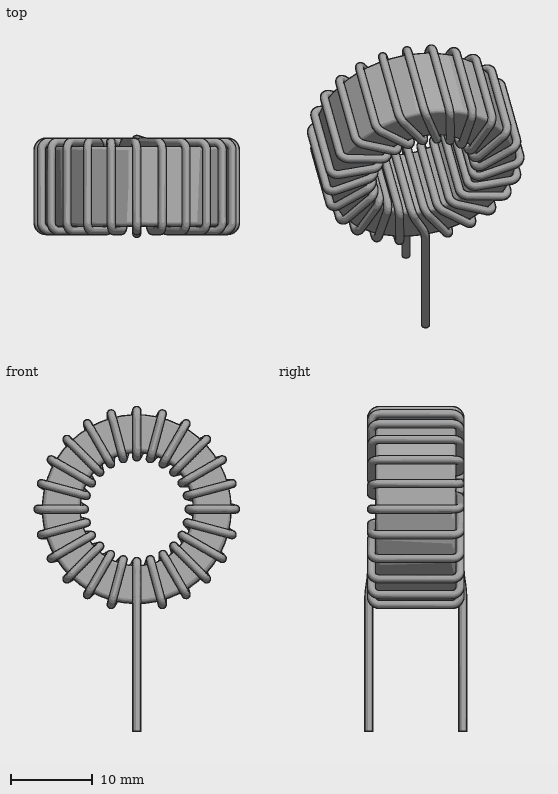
import cadquery as cq
import math


core_outer_diameter = 23.1
core_inner_diameter = 13.8
core_length = 9.8
core_edge_fillet = 0.5

wire_diameter = 1.0
wire_gap = 0.01
turn_positions = 24
turn_pitch = 360 / turn_positions
bottom_angle = 180
standoff = wire_gap + wire_diameter / 2
outer_run_radius = core_outer_diameter / 2 + standoff
inner_run_radius = core_inner_diameter / 2 - standoff
face_run_y = core_length / 2 + standoff
bend_radius = core_edge_fillet + wire_diameter / 2

total_depth = 12.5
total_height = 39.71
lead_y = (total_depth - wire_diameter) / 2
splay_bottom_z = -11.15
lead_bottom_z = outer_run_radius + wire_diameter / 2 - total_height


def ring_point(radius, angle, y):
    turn = math.radians(angle)
    return cq.Vector(radius * math.sin(turn), y, radius * math.cos(turn))


def build_core():
    ring = (
        cq.Workplane("XZ", origin=(0, core_length / 2, 0))
        .circle(core_outer_diameter / 2)
        .circle(core_inner_diameter / 2)
        .extrude(core_length)
    )
    return ring.faces("<Y or >Y").edges().fillet(core_edge_fillet)


def turn_corners():
    """Corner points of the wire centreline around the core, from the front lead to the back lead."""
    corners = []
    for turn in range(turn_positions):
        angle = bottom_angle + turn * turn_pitch
        corners.append(ring_point(inner_run_radius, angle, -face_run_y))
        corners.append(ring_point(inner_run_radius, angle, face_run_y))
        if turn < turn_positions - 1:
            next_angle = angle + turn_pitch
            corners.append(ring_point(outer_run_radius, next_angle, face_run_y))
            corners.append(ring_point(outer_run_radius, next_angle, -face_run_y))
    return corners


def bend_arc(before, corner, after):
    """Arc of the bend radius that rounds a corner, tangent to both of its runs."""
    to_before = (before - corner).normalized()
    to_after = (after - corner).normalized()
    half_angle = to_before.getAngle(to_after) / 2
    tangent_length = bend_radius / math.tan(half_angle)
    apex_distance = bend_radius / math.sin(half_angle) - bend_radius
    arc_middle = corner + (to_before + to_after).normalized() * apex_distance
    return cq.Edge.makeThreePointArc(
        corner + to_before * tangent_length,
        arc_middle,
        corner + to_after * tangent_length,
    )


def splay_curve(start, start_direction, end, end_direction):
    """S-curve between the last bend at a face and the top of a hanging lead."""
    return cq.Edge.makeSpline([start, end], tangents=[start_direction, end_direction])


def winding_path():
    """Wire centreline: front lead, turns around the core, back lead."""
    up = cq.Vector(0, 0, 1)
    down = cq.Vector(0, 0, -1)
    front_tip = cq.Vector(0, -lead_y, lead_bottom_z)
    front_lead_top = cq.Vector(0, -lead_y, splay_bottom_z)
    back_tip = cq.Vector(0, lead_y, lead_bottom_z)
    back_lead_top = cq.Vector(0, lead_y, splay_bottom_z)

    front_aim = cq.Vector(0, -face_run_y, splay_bottom_z)
    back_aim = cq.Vector(0, face_run_y, splay_bottom_z)
    corners = [front_aim, *turn_corners(), back_aim]
    bends = [bend_arc(*triple) for triple in zip(corners, corners[1:], corners[2:])]

    edges = [
        cq.Edge.makeLine(front_tip, front_lead_top),
        splay_curve(front_lead_top, up, bends[0].startPoint(), bends[0].tangentAt(0)),
        bends[0],
    ]
    for previous_bend, bend in zip(bends, bends[1:]):
        edges.append(cq.Edge.makeLine(previous_bend.endPoint(), bend.startPoint()))
        edges.append(bend)
    edges.append(splay_curve(bends[-1].endPoint(), bends[-1].tangentAt(1), back_lead_top, down))
    edges.append(cq.Edge.makeLine(back_lead_top, back_tip))
    return cq.Wire.assembleEdges(edges)


def build_winding():
    wire_end = cq.Workplane("XY", origin=(0, -lead_y, lead_bottom_z)).circle(wire_diameter / 2)
    return wire_end.sweep(winding_path())


core = build_core()
winding = build_winding()

result = cq.Compound.makeCompound([core.val(), winding.val()])